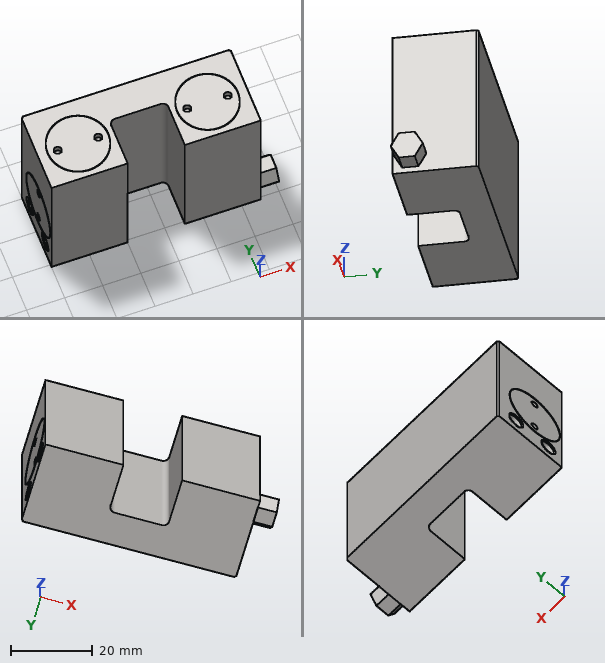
import cadquery as cq

overall_length = 60.1
overall_height = 39.1
rim_rise = 0.1

block_length = 55.0
block_depth = 21.5
block_height = overall_height - rim_rise
back_chamfer = 0.5

slot_width = 15.0
slot_depth = 13.0
slot_corner_radius = 1.5

top_cap_diameter = 15.8
top_rim_diameter = 16.0
top_cap_offset = 17.0
top_cap_y = 9.5
top_pin_spacing = 10.65
side_cap_diameter = 16.8
side_rim_diameter = 17.0
side_cap_y = 9.2
side_cap_z = 15.5
side_pin_spacing = 11.35

pin_hole_diameter = 2.0
pin_hole_depth = 1.8
pin_tip_depth = 0.6

port_diameter = 4.15
port_mouth_diameter = 4.8
port_mouth_depth = (port_mouth_diameter - port_diameter) / 2
port_depth = 9.0
port_z = 5.0
port_a_y = 4.5
port_b_y = 15.4

plug_across_flats = 7.0
plug_length = overall_length - block_length - rim_rise

left_face_x = -block_length / 2
right_face_x = block_length / 2


def top_plane(x):
    """Plane on the top face at a cap centre, pointing out of the block, pins along local X."""
    return cq.Plane(origin=(x, top_cap_y, block_height), xDir=(1, 0, 0), normal=(0, 0, 1))


def left_plane(y, z):
    """Plane on the left face, pointing out of the block, local X along global Z."""
    return cq.Plane(origin=(left_face_x, y, z), xDir=(0, 0, 1), normal=(-1, 0, 0))


def make_block():
    """Rectangular block with chamfered back edges and a round-cornered slot."""
    block = cq.Workplane("XY").box(block_length, block_depth, block_height, centered=(True, False, False))
    block = block.edges("|Z and >Y").chamfer(back_chamfer)
    slot = cq.Workplane("XY").box(slot_width, slot_depth, block_height, centered=(True, False, False))
    slot = slot.edges("|Z and >Y").fillet(slot_corner_radius)
    return block.cut(slot)


def pin_hole(plane, x):
    """Cutter for a blind hole with a conical tip."""
    radius = pin_hole_diameter / 2
    profile = (
        cq.Workplane("XZ")
        .moveTo(0, 0)
        .lineTo(radius, 0)
        .lineTo(radius, -pin_hole_depth)
        .lineTo(0, -pin_hole_depth - pin_tip_depth)
        .close()
    )
    cutter = profile.revolve(360, (0, 0, 0), (0, 1, 0)).translate((x, 0, 0))
    return cq.Workplane(cutter.val().moved(plane.location))


def add_cap(body, plane, cap_diameter, rim_diameter, pin_spacing):
    """Raise the rim around a cap and cut the cap's two pin holes."""
    rim = cq.Workplane(plane).circle(rim_diameter / 2).circle(cap_diameter / 2).extrude(rim_rise)
    body = body.union(rim)
    for side in (-1, 1):
        body = body.cut(pin_hole(plane, side * pin_spacing / 2))
    return body


def cut_port(body, y):
    """Cut a flat-bottomed port with a countersunk mouth into the left face."""
    plane = left_plane(y, port_z)
    bore = cq.Workplane(plane).circle(port_diameter / 2).extrude(-port_depth)
    mouth = (
        cq.Workplane(plane)
        .circle(port_mouth_diameter / 2)
        .workplane(offset=-port_mouth_depth)
        .circle(port_diameter / 2)
        .loft()
    )
    return body.cut(bore).cut(mouth)


def make_housing():
    """Block with two top caps, one side cap and two ports."""
    body = make_block()
    for side in (-1, 1):
        plane = top_plane(side * top_cap_offset)
        body = add_cap(body, plane, top_cap_diameter, top_rim_diameter, top_pin_spacing)
    side_plane = left_plane(side_cap_y, side_cap_z)
    body = add_cap(body, side_plane, side_cap_diameter, side_rim_diameter, side_pin_spacing)
    for y in (port_a_y, port_b_y):
        body = cut_port(body, y)
    return body


def make_plug():
    """Hexagonal prism seated on the right face, flats facing up and down."""
    plane = cq.Plane(origin=(right_face_x, port_a_y, port_z), xDir=(0, 0, 1), normal=(1, 0, 0))
    return cq.Workplane(plane).polygon(6, plug_across_flats, circumscribed=True).extrude(plug_length)


housing = make_housing()
plug = make_plug()

result = cq.Compound.makeCompound([housing.val(), plug.val()])